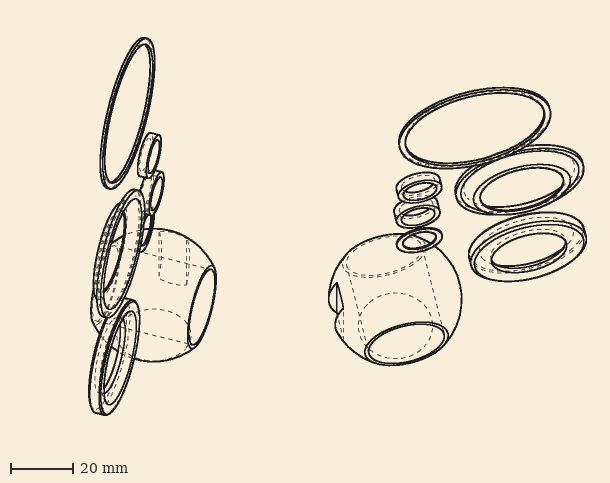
import cadquery as cq
import math


ball_length = 32.9
ball_bore_dia = 24.9
ball_end_dia = 27.4
ball_radius = math.hypot(ball_length / 2, ball_end_dia / 2)
ball_flat_depth = 17.8
slot_width = 9.5
slot_floor_y = 18.0

seat_dia = 38.0
seat_bore_dia = 24.7
seat_bore_land = 1.6
ring_depth = 4.3
seat_front_chamfer_radial = 1.0
seat_front_chamfer_axial = 0.7
seat_back_chamfer = 0.5
seat_y, seat_z = -44.0, 13.6

flange_dia = 42.0
flange_thickness = 1.3
taper_small_dia = 31.8
taper_large_dia = 38.8
flange_bore_dia = 27.4
flange_lip = 0.5
flange_y, flange_z = -41.6, 57.9

gasket_dia = 49.7
gasket_bore_dia = 45.7
gasket_thickness = 0.9
gasket_y, gasket_z = -26.2, 105.4

stem_bore_dia = 11.0
stem_rings = [
    (14.4, 3.0, -8.1, 70.3),
    (14.4, 3.7, -7.5, 53.4),
    (15.0, 0.5, -8.0, 36.8),
]


def make_ball():
    """Bored ball with flat ends, a flat underside and a drive slot on the +Y side."""
    size = 2 * ball_radius
    envelope = cq.Workplane("XY").box(ball_length, size, ball_radius + ball_flat_depth)
    envelope = envelope.translate((0, 0, (ball_radius - ball_flat_depth) / 2))
    bore = cq.Workplane("YZ").circle(ball_bore_dia / 2).extrude(ball_length / 2, both=True)
    slot = cq.Workplane("XY").box(slot_width, size, size).translate((0, slot_floor_y + size / 2, 0))
    return cq.Workplane("XY").sphere(ball_radius).intersect(envelope).cut(bore).cut(slot)


def make_flat_ring(outer_dia, bore_dia, thickness, y, z):
    """Plain ring of rectangular section."""
    ring = cq.Workplane("YZ").circle(outer_dia / 2).circle(bore_dia / 2).extrude(thickness)
    return ring.translate((0, y, z))


def revolve_about_x(profile, y, z):
    """Turn a closed (x, radius) profile about X and move it into place."""
    return profile.close().revolve(360, (0, 0, 0), (1, 0, 0)).translate((0, y, z))


def make_seat():
    """Chamfered seat ring whose back mouth is a spherical face fitting the ball."""
    outer = seat_dia / 2
    bore = seat_bore_dia / 2
    sphere_centre_x = seat_bore_land + math.sqrt(ball_radius**2 - bore**2)
    mouth = math.sqrt(ball_radius**2 - (sphere_centre_x - ring_depth) ** 2)
    mid_radius = (bore + mouth) / 2
    mid_x = sphere_centre_x - math.sqrt(ball_radius**2 - mid_radius**2)
    profile = (
        cq.Workplane("XY")
        .moveTo(0, bore)
        .lineTo(0, outer - seat_front_chamfer_radial)
        .lineTo(seat_front_chamfer_axial, outer)
        .lineTo(ring_depth - seat_back_chamfer, outer)
        .lineTo(ring_depth, outer - seat_back_chamfer)
        .lineTo(ring_depth, mouth)
        .threePointArc((mid_x, mid_radius), (seat_bore_land, bore))
    )
    return revolve_about_x(profile, seat_y, seat_z)


def make_flange_ring():
    """Tapered ring with a thin back flange and a conical recess parallel to the taper."""
    taper_slope = (taper_large_dia - taper_small_dia) / 2 / (ring_depth - flange_thickness)
    recess_mouth = flange_bore_dia / 2 + taper_slope * (ring_depth - flange_lip)
    flange_front = ring_depth - flange_thickness
    profile = (
        cq.Workplane("XY")
        .moveTo(0, flange_bore_dia / 2)
        .lineTo(0, taper_small_dia / 2)
        .lineTo(flange_front, taper_large_dia / 2)
        .lineTo(flange_front, flange_dia / 2)
        .lineTo(ring_depth, flange_dia / 2)
        .lineTo(ring_depth, recess_mouth)
        .lineTo(flange_lip, flange_bore_dia / 2)
    )
    return revolve_about_x(profile, flange_y, flange_z)


ball = make_ball()
seat = make_seat()
flange_ring = make_flange_ring()
gasket = make_flat_ring(gasket_dia, gasket_bore_dia, gasket_thickness, gasket_y, gasket_z)
stem_ring_solids = []
for outer_dia, thickness, y, z in stem_rings:
    ring = make_flat_ring(outer_dia, stem_bore_dia, thickness, y, z)
    stem_ring_solids.append(ring.val())

result = cq.Compound.makeCompound(
    [ball.val(), seat.val(), flange_ring.val(), gasket.val(), *stem_ring_solids]
)